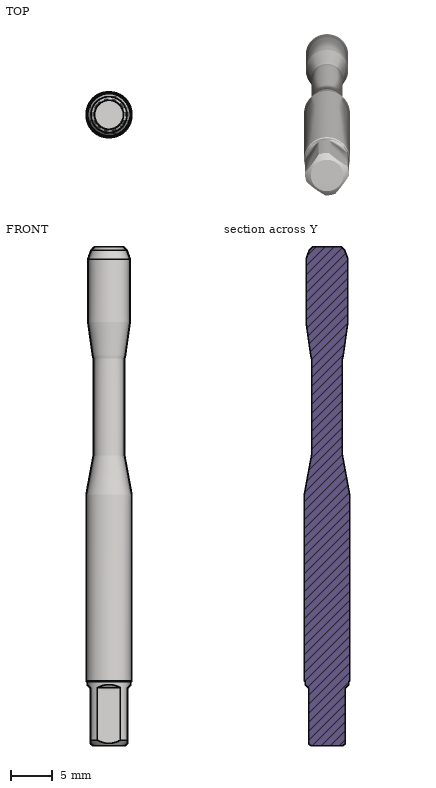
import cadquery as cq
import math

total_length = 60.1
drive_chamfer_height = 0.65
flat_end_z = 7.0
shank_chamfer_start_z = 7.7
shank_end_z = 30.25
lower_taper_end_z = 35.0
upper_taper_start_z = 46.65
upper_taper_end_z = 51.0
lower_blend_height = 0.2
upper_blend_height = 0.35
lead_start_z = 58.6
tip_chamfer_height = 0.4

drive_diameter = 5.3
drive_end_diameter = 3.9
shank_diameter = 5.5
neck_diameter = 3.8
lower_taper_foot_diameter = 3.85
upper_taper_foot_diameter = 3.95
head_diameter = 5.1
lead_diameter = 4.3
tip_diameter = 3.5

across_flats = 4.5
runout_angle = 45.0


def turned_body():
    """Revolve the complete stepped and tapered profile about Z."""
    stations = [
        (drive_end_diameter, 0),
        (drive_diameter, drive_chamfer_height),
        (drive_diameter, shank_chamfer_start_z),
        (shank_diameter, shank_chamfer_start_z + (shank_diameter - drive_diameter) / 2),
        (shank_diameter, shank_end_z),
        (lower_taper_foot_diameter, lower_taper_end_z - lower_blend_height),
        (neck_diameter, lower_taper_end_z),
        (neck_diameter, upper_taper_start_z),
        (upper_taper_foot_diameter, upper_taper_start_z + upper_blend_height),
        (head_diameter, upper_taper_end_z),
        (head_diameter, lead_start_z),
        (lead_diameter, total_length - tip_chamfer_height),
        (tip_diameter, total_length),
    ]
    outline = [(0, 0)]
    outline += [(diameter / 2, z) for diameter, z in stations]
    outline += [(0, total_length)]
    return cq.Workplane("XZ").polyline(outline).close().revolve(360, (0, 0, 0), (0, 1, 0))


def flat_cutter():
    """Material outside one +X flat, ending in a sloped runout."""
    inner_x = across_flats / 2
    outer_x = shank_diameter
    runout_height = (outer_x - inner_x) * math.tan(math.radians(runout_angle))
    outline = [
        (inner_x, 0),
        (outer_x, 0),
        (outer_x, flat_end_z + runout_height),
        (inner_x, flat_end_z),
    ]
    return cq.Workplane("XZ").polyline(outline).close().extrude(shank_diameter / 2, both=True)


result = turned_body()
for quarter in range(4):
    result = result.cut(flat_cutter().rotate((0, 0, 0), (0, 0, 1), 90 * quarter))